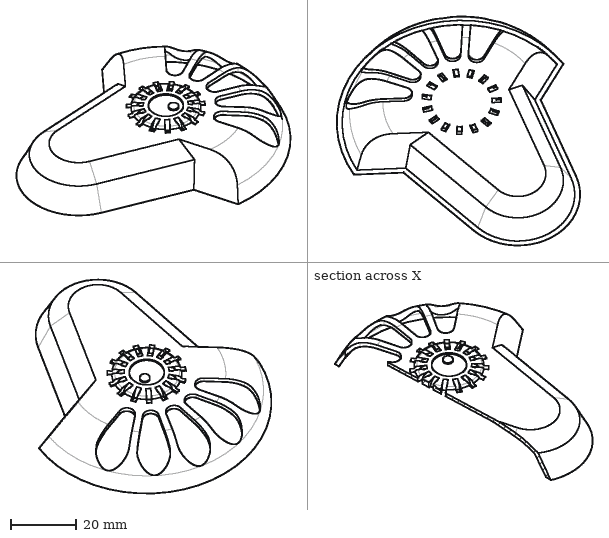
import cadquery as cq
import math

INCH = 25.4

height = 0.5 * INCH
wall = 0.06 * INCH
draft = math.radians(25)

head_radius = 1.5 * INCH
head_rounding = 0.5 * INCH
vee_apex_y = -20.45
vee_slope = math.radians(30)
vee_reach = 2 * head_radius

tip_radius = 0.75 * INCH
tip_center_y = -1.25 * INCH
leg_taper = math.radians(12)
leg_chamfer_height = 4.25
leg_chamfer_angle = math.radians(55)

petal_count = 5
petal_pitch = 24
petal_inner_radius = 0.1 * INCH
petal_outer_radius = 0.2 * INCH
petal_inner_distance = 0.7 * INCH
petal_outer_distance = 1.2 * INCH

dial_height = 0.03 * INCH
dial_radius = 0.42 * INCH
recess_radius = 0.21 * INCH
recess_depth = 0.02 * INCH
pin_radius = 0.0625 * INCH
pin_x = 1.6
pin_y = 1.75

vent_count = 15
vent_width = 0.06 * INCH
vent_inner_distance = 0.27 * INCH
vent_outer_distance = 0.475 * INCH
vent_floor_rounding = 0.1 * INCH

dial_top = height + dial_height
ceiling = height - wall


def make_head(inset):
    """Head solid with every outer face moved inwards by inset."""
    base_radius = head_radius - inset / math.cos(draft)
    top = height - inset
    rounding = head_rounding - inset
    tangent_z = top - rounding * (1 - math.sin(draft))
    tangent_radius = base_radius - tangent_z * math.tan(draft)
    flat_radius = tangent_radius - rounding * math.cos(draft)
    mid_angle = (draft + math.pi / 2) / 2
    arc_middle = (
        flat_radius + rounding * math.cos(mid_angle),
        top - rounding * (1 - math.sin(mid_angle)),
    )
    dome = (
        cq.Workplane("XZ")
        .lineTo(base_radius, 0)
        .lineTo(tangent_radius, tangent_z)
        .threePointArc(arc_middle, (flat_radius, top))
        .lineTo(0, top)
        .close()
        .revolve(360, (0, 0, 0), (0, 1, 0))
    )
    apex_y = vee_apex_y + inset / math.cos(draft) / math.cos(vee_slope)
    arm_y = apex_y + vee_reach * math.tan(vee_slope)
    vee = (
        cq.Workplane("XY")
        .moveTo(0, apex_y)
        .lineTo(vee_reach, arm_y)
        .lineTo(vee_reach, vee_reach)
        .lineTo(-vee_reach, vee_reach)
        .lineTo(-vee_reach, arm_y)
        .close()
        .extrude(top, taper=math.degrees(draft))
    )
    return dome.intersect(vee)


def leg_outline(radius):
    """Closed leg outline around the tip centre, ending on the X axis inside the head."""
    tangent_x = radius * math.cos(leg_taper)
    tangent_y = tip_center_y - radius * math.sin(leg_taper)
    root_x = tangent_x - tangent_y * math.tan(leg_taper)
    return (
        cq.Workplane("XY")
        .moveTo(root_x, 0)
        .lineTo(tangent_x, tangent_y)
        .threePointArc((0, tip_center_y - radius), (-tangent_x, tangent_y))
        .lineTo(-root_x, 0)
        .close()
        .val()
    )


def leg_layer(low_radius, low_z, high_radius, high_z):
    """Part of the leg between two heights, with straight drafted sides."""
    low = leg_outline(low_radius).moved(cq.Location(cq.Vector(0, 0, low_z)))
    high = leg_outline(high_radius).moved(cq.Location(cq.Vector(0, 0, high_z)))
    return cq.Workplane(cq.Solid.makeLoft([low, high], True))


def make_leg(inset):
    """Leg solid with its drafted wall, chamfer and top moved inwards by inset."""
    chamfer_slope = math.tan(leg_chamfer_angle)
    outer_edge_z = height - leg_chamfer_height
    outer_edge_radius = tip_radius - outer_edge_z * math.tan(draft)
    outer_top_radius = outer_edge_radius - leg_chamfer_height * chamfer_slope

    base_radius = tip_radius - inset / math.cos(draft)
    top = height - inset
    top_radius = outer_top_radius - inset / math.cos(leg_chamfer_angle) + inset * chamfer_slope
    slope_difference = chamfer_slope - math.tan(draft)
    edge_z = (top_radius + top * chamfer_slope - base_radius) / slope_difference
    edge_radius = base_radius - edge_z * math.tan(draft)
    lower = leg_layer(base_radius, 0, edge_radius, edge_z)
    upper = leg_layer(edge_radius, edge_z, top_radius, top)
    return lower.union(upper)


def make_body(inset):
    return make_head(inset).union(make_leg(inset))


def make_petals():
    """Teardrop cutters fanned out about the +Y direction."""
    tilt = math.asin(
        (petal_outer_radius - petal_inner_radius) / (petal_outer_distance - petal_inner_distance)
    )
    inner_x = petal_inner_radius * math.cos(tilt)
    inner_y = petal_inner_distance - petal_inner_radius * math.sin(tilt)
    outer_x = petal_outer_radius * math.cos(tilt)
    outer_y = petal_outer_distance - petal_outer_radius * math.sin(tilt)
    petal = (
        cq.Workplane("XY")
        .moveTo(inner_x, inner_y)
        .lineTo(outer_x, outer_y)
        .threePointArc((0, petal_outer_distance + petal_outer_radius), (-outer_x, outer_y))
        .lineTo(-inner_x, inner_y)
        .threePointArc((0, petal_inner_distance - petal_inner_radius), (inner_x, inner_y))
        .close()
        .extrude(dial_top)
    )
    petals = cq.Workplane("XY")
    for index in range(petal_count):
        angle = (index - (petal_count - 1) / 2) * petal_pitch
        petals = petals.add(petal.rotate((0, 0, 0), (0, 0, 1), angle))
    return petals.combine()


def make_rounded_disc(radius, bottom_z, top_z, rounding):
    """Disc about the Z axis whose top edge curves over to meet its side."""
    corner = radius - rounding
    arc_middle = (
        corner + rounding * math.sin(math.pi / 4),
        top_z - rounding * (1 - math.cos(math.pi / 4)),
    )
    return (
        cq.Workplane("XZ")
        .moveTo(0, bottom_z)
        .lineTo(radius, bottom_z)
        .lineTo(radius, top_z - rounding)
        .threePointArc(arc_middle, (corner, top_z))
        .lineTo(0, top_z)
        .close()
        .revolve(360, (0, 0, 0), (0, 1, 0))
    )


def make_dial():
    """Low disc on top of the shell, sunk through the wall, with its rim fully rounded."""
    return make_rounded_disc(dial_radius, ceiling, dial_top, dial_height)


def make_recess():
    floor_z = dial_top - recess_depth
    recess = cq.Workplane("XY", origin=(0, 0, floor_z)).circle(recess_radius).extrude(recess_depth)
    pin = (
        cq.Workplane("XY", origin=(pin_x, pin_y, floor_z)).circle(pin_radius).extrude(recess_depth)
    )
    return recess.cut(pin)


def make_vents():
    """Radial vent cutters that leave a round-edged core standing below their inner ends."""
    core_radius = vent_inner_distance + vent_floor_rounding
    core = make_rounded_disc(core_radius, 0, dial_top, vent_floor_rounding)
    vent_length = vent_outer_distance - vent_inner_distance
    slot = cq.Workplane("XY").box(vent_width, vent_length, dial_top, centered=(True, False, False))
    vent = slot.translate((0, vent_inner_distance, 0)).cut(core)
    vents = cq.Workplane("XY")
    for index in range(vent_count):
        vents = vents.add(vent.rotate((0, 0, 0), (0, 0, 1), index * 360 / vent_count))
    return vents.combine()


shell = make_body(0).cut(make_body(wall)).cut(make_petals())
result = shell.union(make_dial()).cut(make_recess()).cut(make_vents())